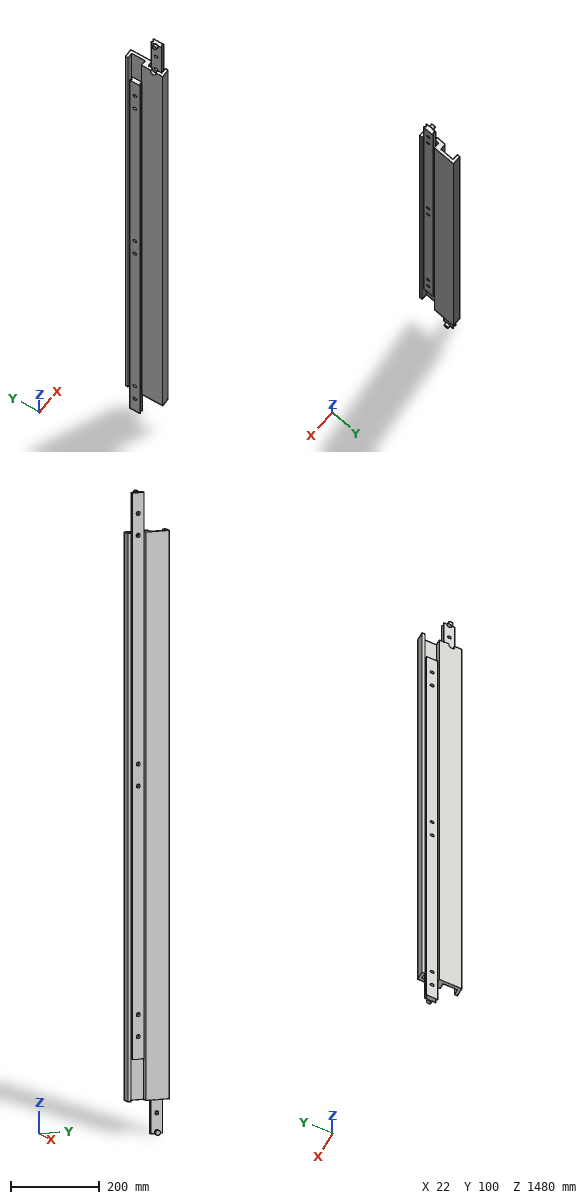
import cadquery as cq

beam_depth = 22.0
beam_width = 100.0
beam_length = 1303.0
beam_bottom = -657.0
beam_top = beam_bottom + beam_length
web_thickness = 7.0
outer_wall = 7.0
center_wall = 13.0
channel_width = (beam_width - center_wall) / 2 - outer_wall
channel_offset = (center_wall + channel_width) / 2
notch_width = 13.0

rail_width = 28.0
rail_depth = 10.0
groove_radius = 3.0
rail_length = 1298.0
overall_length = 1480.0
stud_overhang = 3.0
rail_end = overall_length / 2 - stud_overhang

hole_diameter = 9.0
hole_pitch = 50.0
hole_center_z = 90.0
end_pair_offset = 575.0

stud_diameter = 12.0
stud_reach = 7.0
stud_center_z = overall_length / 2 - stud_diameter / 2


def make_box(x_min, x_max, y_center, width, z_min, z_max):
    """Box between the given X and Z limits, centred on y_center."""
    return (
        cq.Workplane("XY", origin=(x_min, y_center, z_min))
        .box(x_max - x_min, width, z_max - z_min, centered=(False, True, False))
    )


def make_x_cylinder(x_start, y_center, z_center, diameter, length):
    """Cylinder running from x_start toward +X."""
    return (
        cq.Workplane("YZ", origin=(x_start, y_center, z_center))
        .circle(diameter / 2)
        .extrude(length)
    )


def make_beam(notch_z):
    outer_x = beam_depth / 2
    inner_x = outer_x - web_thickness
    body = make_box(-outer_x, outer_x, 0, beam_width, beam_bottom, beam_top)
    body = body.cut(make_box(-outer_x, inner_x, channel_offset, channel_width, beam_bottom, beam_top))
    body = body.cut(make_box(-inner_x, outer_x, -channel_offset, channel_width, beam_bottom, beam_top))
    notch = make_x_cylinder(-outer_x, -channel_offset, notch_z, notch_width, web_thickness)
    notch = notch.union(make_box(-outer_x, -inner_x, -channel_offset, notch_width, notch_z, beam_top))
    return body.cut(notch)


def hole_heights():
    """Hole heights in a rail that extends above the beam."""
    return [
        hole_center_z + pair + side * hole_pitch / 2
        for pair in (-end_pair_offset, 0, end_pair_offset)
        for side in (-1, 1)
    ]


def make_rail(side):
    """Rail at +X, -Y and up for side = 1, or at -X, +Y and down for side = -1."""
    y_center = -side * channel_offset
    face_x = side * beam_depth / 2
    inner_x = face_x - side * rail_depth
    z_min, z_max = sorted((side * rail_end, side * (rail_end - rail_length)))
    x_min, x_max = sorted((face_x, inner_x))
    rail = make_box(x_min, x_max, y_center, rail_width, z_min, z_max)
    groove_x = (x_min + x_max) / 2
    for edge in (-1, 1):
        groove = (
            cq.Workplane("XY", origin=(groove_x, y_center + edge * rail_width / 2, z_min))
            .circle(groove_radius)
            .extrude(z_max - z_min)
        )
        rail = rail.cut(groove)
    for height in hole_heights():
        rail = rail.cut(
            make_x_cylinder(x_min, y_center, side * height, hole_diameter, rail_depth)
        )
    stud = make_x_cylinder(inner_x, y_center, side * stud_center_z, stud_diameter, -side * stud_reach)
    return rail.union(stud)


beam = make_beam(notch_z=max(h for h in hole_heights() if h < beam_top))
rails = [make_rail(side) for side in (1, -1)]

result = cq.Compound.makeCompound([beam.val(), *[rail.val() for rail in rails]])